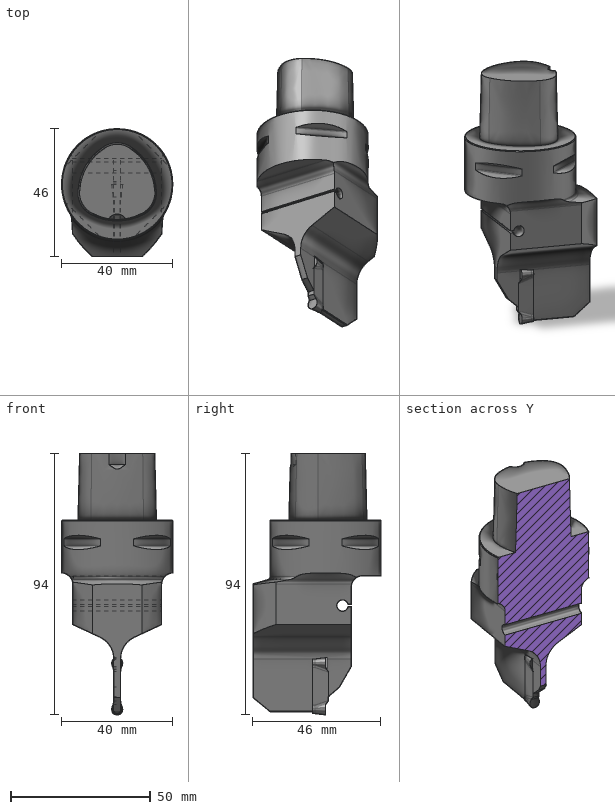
import cadquery as cq
import math


FLANGE_RADIUS = 20.0
FLANGE_HEIGHT = 20.0
FLANGE_CHAMFER = 0.3

SHANK_HEIGHT = 24.0
SHANK_TAPER = math.degrees(math.atan(1 / 40))
SHANK_LOBE_REACH = 14.95
SHANK_FLAT_REACH = 13.2
SHANK_LOBE_RADIUS = 8.8

NOTCH_RADIUS = 3.4
NOTCH_Y = -14.1
NOTCH_DEPTH = 4.0
NOTCH_CONE_HEIGHT = 2.8

GROOVE_COUNT = 4
GROOVE_Z = -8.0
GROOVE_FLOOR_REACH = 17.7
GROOVE_FLOOR_HALF = 1.25
GROOVE_ROOT_RADIUS = 0.3
GROOVE_FLANK_ANGLE = 30.0

SHOULDER_Z = -20.3
SHOULDER_FILLET = 1.1
SHOULDER_ANGLE = 16.0
SHOULDER_OUTER_RADIUS = 30.0

BODY_BOTTOM_Z = -68.9
NECK_HALF_WIDTH = 16.0
NECK_TOP_Z = -23.0
NECK_BOTTOM_Z = -37.5
NECK_SLOPE_ANGLE = 25.0
NECK_FRONT_Y = -26.0
NECK_BACK_Y = 9.3
FLARE_RADIUS = FLANGE_RADIUS - NECK_HALF_WIDTH
CORNER_SIDE_Y = -17.8
CORNER_FRONT_X = 8.9
CORNER_BULGE = 0.35
BLADE_HALF_WIDTH = 1.25
BLADE_FILLET = 8.6
BLADE_CHAMFER_Y = -19.8
BLADE_CHAMFER_Z = -63.8
BLADE_EDGE_CHAMFER = 0.3

JAW_SHOULDER_Z = -52.5
JAW_BEND = (5.0, -60.0)
JAW_TIP_Z = -63.4
JAW_LIP_Y = 0.5

RELIEF_RADIUS = 2.0
RELIEF_Y = 6.1
RELIEF_Z = -30.7
SLIT_WIDTH = 0.8

INSERT_BOTTOM_Z = -70.0
INSERT_LENGTH = 20.6
INSERT_MID_Z = INSERT_BOTTOM_Z + INSERT_LENGTH / 2
INSERT_BACK_Y = -4.6
INSERT_FRONT_Y = 1.05
INSERT_FLAT_HALF_LENGTH = 5.25
TIP_RADIUS = 2.0
TIP_LAND = 0.8
TIP_RELIEF_ANGLE = 7.0
TIP_NECK_ANGLE = 20.0
TIP_NECK_FILLET = 2.3
TIP_OFFSET = INSERT_LENGTH / 2 - TIP_RADIUS
RELIEF_DEPTH = -INSERT_BACK_Y - TIP_LAND
RELIEF_SHRINK = RELIEF_DEPTH * math.tan(math.radians(TIP_RELIEF_ANGLE))
FRONT_SLOPE_RUN = 1.3


def polar(radius, degrees, center=(0.0, 0.0)):
    angle = math.radians(degrees)
    return (center[0] + radius * math.cos(angle), center[1] + radius * math.sin(angle))


def make_shank():
    """Three-lobed shank: lobe arcs joined tangentially to flatter side arcs."""
    lobe_offset = SHANK_LOBE_REACH - SHANK_LOBE_RADIUS
    radius_gap = SHANK_FLAT_REACH - SHANK_LOBE_RADIUS
    side_offset = (lobe_offset**2 - radius_gap**2) / (2 * radius_gap - lobe_offset)
    side_radius = SHANK_FLAT_REACH + side_offset
    side_center = (0.0, side_offset)
    lobe_center = polar(lobe_offset, -30)
    joint_angle = math.degrees(
        math.atan2(lobe_center[1] - side_center[1], lobe_center[0] - side_center[0])
    )
    joint = polar(side_radius, joint_angle, side_center)
    joint_reach = math.hypot(*joint)
    half_side = 90 + math.degrees(math.atan2(joint[1], joint[0]))

    outline = cq.Workplane("XY").moveTo(*polar(joint_reach, -90 - half_side))
    for side_middle in (-90, 30, 150):
        outline = outline.threePointArc(
            polar(SHANK_FLAT_REACH, side_middle), polar(joint_reach, side_middle + half_side)
        )
        outline = outline.threePointArc(
            polar(SHANK_LOBE_REACH, side_middle + 60),
            polar(joint_reach, side_middle + 120 - half_side),
        )
    return outline.close().extrude(SHANK_HEIGHT, taper=SHANK_TAPER)


def make_notch():
    """Vertical drilled pocket with a conical floor."""
    floor_z = SHANK_HEIGHT - NOTCH_DEPTH
    return (
        cq.Workplane("XZ")
        .moveTo(0, SHANK_HEIGHT)
        .lineTo(NOTCH_RADIUS, SHANK_HEIGHT)
        .lineTo(NOTCH_RADIUS, floor_z)
        .lineTo(0, floor_z - NOTCH_CONE_HEIGHT)
        .close()
        .revolve()
        .translate((0, NOTCH_Y, 0))
    )


def make_turned_stock():
    """Flange cylinder running through a fillet into the wide conical shoulder."""
    arc_center = (FLANGE_RADIUS + SHOULDER_FILLET, SHOULDER_Z)
    arc_end_angle = 270 - SHOULDER_ANGLE
    arc_end = polar(SHOULDER_FILLET, arc_end_angle, arc_center)
    arc_middle = polar(SHOULDER_FILLET, (180 + arc_end_angle) / 2, arc_center)
    cone_drop = (SHOULDER_OUTER_RADIUS - arc_end[0]) * math.tan(math.radians(SHOULDER_ANGLE))
    return (
        cq.Workplane("XZ")
        .moveTo(0, 0)
        .lineTo(FLANGE_RADIUS - FLANGE_CHAMFER, 0)
        .lineTo(FLANGE_RADIUS, -FLANGE_CHAMFER)
        .lineTo(FLANGE_RADIUS, SHOULDER_Z)
        .threePointArc(arc_middle, arc_end)
        .lineTo(SHOULDER_OUTER_RADIUS, arc_end[1] - cone_drop)
        .lineTo(SHOULDER_OUTER_RADIUS, BODY_BOTTOM_Z)
        .lineTo(0, BODY_BOTTOM_Z)
        .close()
        .revolve()
    )


def make_width_profile():
    """X-Z outline: flange flare, neck, sloped underside and thin blade."""
    fillet_sweep = 90 - NECK_SLOPE_ANGLE
    fillet_top_x = BLADE_HALF_WIDTH + BLADE_FILLET * (1 - math.cos(math.radians(fillet_sweep)))
    slope_drop = (NECK_HALF_WIDTH - fillet_top_x) * math.tan(math.radians(NECK_SLOPE_ANGLE))
    fillet_top_z = NECK_BOTTOM_Z - slope_drop
    fillet_bottom_z = fillet_top_z - BLADE_FILLET * math.sin(math.radians(fillet_sweep))
    fillet_center = (BLADE_HALF_WIDTH + BLADE_FILLET, fillet_bottom_z)
    half = (
        cq.Workplane("XZ")
        .moveTo(0, 0)
        .lineTo(FLANGE_RADIUS, 0)
        .lineTo(FLANGE_RADIUS, NECK_TOP_Z + FLARE_RADIUS)
        .threePointArc(
            polar(FLARE_RADIUS, 135, (FLANGE_RADIUS, NECK_TOP_Z)), (NECK_HALF_WIDTH, NECK_TOP_Z)
        )
        .lineTo(NECK_HALF_WIDTH, NECK_BOTTOM_Z)
        .lineTo(fillet_top_x, fillet_top_z)
        .threePointArc(
            polar(BLADE_FILLET, 180 - fillet_sweep / 2, fillet_center),
            (BLADE_HALF_WIDTH, fillet_bottom_z),
        )
        .lineTo(BLADE_HALF_WIDTH, BODY_BOTTOM_Z + BLADE_EDGE_CHAMFER)
        .lineTo(BLADE_HALF_WIDTH - BLADE_EDGE_CHAMFER, BODY_BOTTOM_Z)
        .lineTo(0, BODY_BOTTOM_Z)
        .close()
        .extrude(SHOULDER_OUTER_RADIUS, both=True)
    )
    return half.union(half.mirror("YZ"))


def make_side_profile():
    """Y-Z outline: flange, neck, clamping jaw, insert pocket and blade."""
    roof_z = INSERT_BOTTOM_Z + INSERT_LENGTH
    flat_top_z = INSERT_MID_Z + INSERT_FLAT_HALF_LENGTH
    lip_z = flat_top_z + (INSERT_FRONT_Y - JAW_LIP_Y) * FRONT_SLOPE_RUN
    fillet_center = (NECK_BACK_Y + FLARE_RADIUS, -FLANGE_HEIGHT - FLARE_RADIUS)
    return (
        cq.Workplane("YZ")
        .moveTo(FLANGE_RADIUS, 0)
        .lineTo(NECK_FRONT_Y, 0)
        .lineTo(NECK_FRONT_Y, BLADE_CHAMFER_Z)
        .lineTo(BLADE_CHAMFER_Y, BODY_BOTTOM_Z)
        .lineTo(INSERT_BACK_Y, BODY_BOTTOM_Z)
        .lineTo(INSERT_BACK_Y, roof_z - RELIEF_SHRINK)
        .lineTo(-RELIEF_DEPTH, roof_z - RELIEF_SHRINK)
        .lineTo(0, roof_z)
        .lineTo(JAW_LIP_Y, roof_z)
        .lineTo(JAW_LIP_Y, lip_z)
        .lineTo(INSERT_FRONT_Y, flat_top_z)
        .lineTo(INSERT_FRONT_Y, JAW_TIP_Z)
        .lineTo(*JAW_BEND)
        .lineTo(NECK_BACK_Y, JAW_SHOULDER_Z)
        .lineTo(NECK_BACK_Y, fillet_center[1])
        .threePointArc(
            polar(FLARE_RADIUS, 135, fillet_center), (fillet_center[0], -FLANGE_HEIGHT)
        )
        .lineTo(FLANGE_RADIUS, -FLANGE_HEIGHT)
        .close()
        .extrude(SHOULDER_OUTER_RADIUS, both=True)
    )


def make_plan_profile():
    """X-Y outline with the two bulged front corner faces."""
    side = (NECK_HALF_WIDTH, CORNER_SIDE_Y)
    front = (CORNER_FRONT_X, NECK_FRONT_Y)
    mirrored_side = (-side[0], side[1])
    mirrored_front = (-front[0], front[1])
    return (
        cq.Workplane("XY")
        .moveTo(FLANGE_RADIUS, FLANGE_RADIUS)
        .lineTo(FLANGE_RADIUS, CORNER_SIDE_Y)
        .lineTo(*side)
        .sagittaArc(front, CORNER_BULGE)
        .lineTo(*mirrored_front)
        .sagittaArc(mirrored_side, CORNER_BULGE)
        .lineTo(-FLANGE_RADIUS, CORNER_SIDE_Y)
        .lineTo(-FLANGE_RADIUS, FLANGE_RADIUS)
        .close()
        .extrude(BODY_BOTTOM_Z)
    )


def make_gripper_groove(angle):
    """Straight groove with sloped flanks across the flange rim."""
    mouth_reach = FLANGE_RADIUS + 1
    flank_rise = (mouth_reach - GROOVE_FLOOR_REACH) * math.tan(math.radians(GROOVE_FLANK_ANGLE))
    mouth_half = GROOVE_FLOOR_HALF + flank_rise
    return (
        cq.Workplane("XZ")
        .polyline([
            (GROOVE_FLOOR_REACH, GROOVE_Z - GROOVE_FLOOR_HALF),
            (mouth_reach, GROOVE_Z - mouth_half),
            (mouth_reach, GROOVE_Z + mouth_half),
            (GROOVE_FLOOR_REACH, GROOVE_Z + GROOVE_FLOOR_HALF),
        ])
        .close()
        .extrude(FLANGE_RADIUS, both=True)
        .faces("<X")
        .edges("|Y")
        .fillet(GROOVE_ROOT_RADIUS)
        .rotate((0, 0, 0), (0, 0, 1), angle)
    )


def make_relief_cut():
    """Cross hole through the neck, slit open to the back face."""
    length = 2 * FLANGE_RADIUS
    hole = (
        cq.Workplane("YZ")
        .center(RELIEF_Y, RELIEF_Z)
        .circle(RELIEF_RADIUS)
        .extrude(length / 2, both=True)
    )
    slit = cq.Workplane("XY").box(
        length, NECK_BACK_Y - RELIEF_Y, SLIT_WIDTH, centered=(True, False, True)
    )
    return hole.union(slit.translate((0, RELIEF_Y, RELIEF_Z)))


def make_holder():
    holder = (
        make_turned_stock()
        .intersect(make_side_profile())
        .intersect(make_width_profile())
        .intersect(make_plan_profile())
        .union(make_shank())
        .cut(make_notch())
        .cut(make_relief_cut())
    )
    for index in range(GROOVE_COUNT):
        holder = holder.cut(make_gripper_groove(45 + index * 360 / GROOVE_COUNT))
    return holder


def draw_tip_outline(plane, shrink):
    """Round tip narrowing through straight flanks and fillets to the web width.

    The outline is drawn around the tip center with the tip pointing to -Z.
    """
    radius = TIP_RADIUS - shrink
    fillet = TIP_NECK_FILLET + shrink
    neck = math.radians(TIP_NECK_ANGLE)
    flank_start = polar(radius, TIP_NECK_ANGLE)
    web_meeting_z = flank_start[1] + (flank_start[0] - BLADE_HALF_WIDTH) / math.tan(neck)
    web_z = web_meeting_z + fillet * math.tan(neck / 2)
    fillet_center = (BLADE_HALF_WIDTH + fillet, web_z)
    fillet_start = polar(fillet, 180 + TIP_NECK_ANGLE, fillet_center)
    fillet_middle = polar(fillet, 180 + TIP_NECK_ANGLE / 2, fillet_center)
    return (
        plane.moveTo(BLADE_HALF_WIDTH, web_z)
        .threePointArc(fillet_middle, fillet_start)
        .lineTo(*flank_start)
        .threePointArc((0, -radius), (-flank_start[0], flank_start[1]))
        .lineTo(-fillet_start[0], fillet_start[1])
        .threePointArc((-fillet_middle[0], fillet_middle[1]), (-BLADE_HALF_WIDTH, web_z))
        .close()
    )


def make_lower_tip():
    """Cutting tip tapering toward the back, ending in a straight land."""
    front_growth = INSERT_FRONT_Y * math.tan(math.radians(TIP_RELIEF_ANGLE))
    front = draw_tip_outline(cq.Workplane("XZ", origin=(0, INSERT_FRONT_Y, 0)), -front_growth)
    taper = draw_tip_outline(
        front.workplane(offset=INSERT_FRONT_Y + RELIEF_DEPTH), RELIEF_SHRINK
    ).loft(ruled=True)
    land = draw_tip_outline(
        cq.Workplane("XZ", origin=(0, -RELIEF_DEPTH, 0)), RELIEF_SHRINK
    ).extrude(TIP_LAND)
    return taper.union(land).translate((0, 0, INSERT_MID_Z - TIP_OFFSET))


def make_insert_slab(half_length, half_width):
    """Raised middle flat with slopes down to the rake planes at both ends."""
    slope_end = INSERT_FLAT_HALF_LENGTH + INSERT_FRONT_Y * FRONT_SLOPE_RUN
    return (
        cq.Workplane("YZ")
        .polyline([
            (INSERT_BACK_Y, -half_length),
            (0, -half_length),
            (0, -slope_end),
            (INSERT_FRONT_Y, -INSERT_FLAT_HALF_LENGTH),
            (INSERT_FRONT_Y, INSERT_FLAT_HALF_LENGTH),
            (0, slope_end),
            (0, half_length),
            (INSERT_BACK_Y, half_length),
        ])
        .close()
        .extrude(half_width, both=True)
        .translate((0, 0, INSERT_MID_Z))
    )


def make_insert():
    """Flat web with a round cutting tip at each end."""
    web = make_insert_slab(TIP_OFFSET, BLADE_HALF_WIDTH)
    envelope = make_insert_slab(INSERT_LENGTH / 2, 2 * TIP_RADIUS)
    lower_tip = make_lower_tip().intersect(envelope)
    upper_tip = lower_tip.mirror("XY", (0, 0, INSERT_MID_Z))
    return web.union(lower_tip).union(upper_tip)


holder = make_holder()
insert = make_insert()
result = cq.Compound.makeCompound([holder.solids().val(), insert.solids().val()])